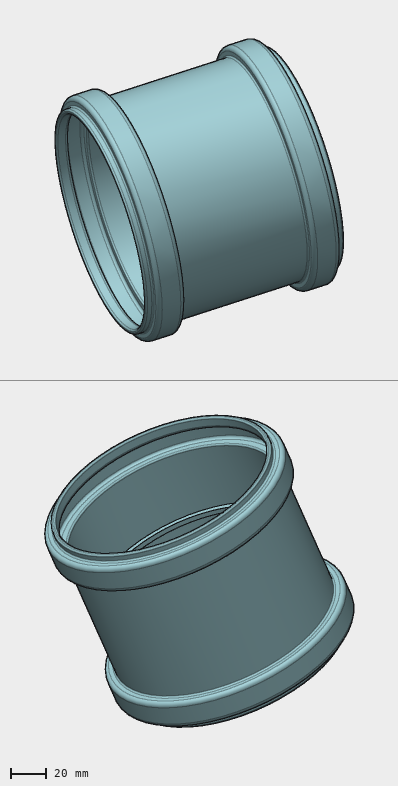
import cadquery as cq

length = 120.0
bead_diameter = 144.0
mouth_outer_diameter = 131.8
mouth_bore_diameter = 126.1
tube_outer_diameter = 131.5
tube_bore_diameter = 125.9
groove_diameter = 138.4
stop_bore_diameter = 119.0

wall = (bead_diameter - groove_diameter) / 2
mouth_length = 4.6
bead_width = 16.7
stop_width = 2.9

bead_fillet = 2.7
root_fillet = 1.0
rim_fillet = 1.0
groove_floor_fillet = 1.7
groove_edge_fillet = 1.0
mouth_groove_fillet = 1.7

half_length = length / 2
bead_start = half_length - mouth_length
bead_end = bead_start - bead_width
tolerance = 0.01


def cylinder(diameter, y_start, y_end):
    """Solid cylinder on the Y axis between two Y positions."""
    return (
        cq.Workplane("XZ", origin=(0, y_end, 0))
        .circle(diameter / 2)
        .extrude(y_end - y_start)
    )


def fillet_circle(body, diameter, y, radius):
    """Round the circular edge of the given diameter at the given Y."""
    reach = diameter / 2 + tolerance
    inner = diameter / 2 - tolerance
    edges = [
        edge
        for edge in body.edges("%CIRCLE").vals()
        if inner < edge.radius() < reach and abs(edge.Center().y - y) < tolerance
    ]
    return body.newObject(edges).fillet(radius)


def make_outside():
    """Tube, mouths and beads as one solid body."""
    body = cylinder(tube_outer_diameter, -bead_end, bead_end)
    for side in (-1, 1):
        bead_faces = sorted((side * bead_end, side * bead_start))
        mouth_faces = sorted((side * bead_start, side * half_length))
        body = body.union(cylinder(bead_diameter, *bead_faces))
        body = body.union(cylinder(mouth_outer_diameter, *mouth_faces))
    for side in (-1, 1):
        for y in (side * bead_start, side * bead_end):
            body = fillet_circle(body, bead_diameter, y, bead_fillet)
        body = fillet_circle(body, mouth_outer_diameter, side * bead_start, root_fillet)
        body = fillet_circle(body, tube_outer_diameter, side * bead_end, root_fillet)
        body = fillet_circle(body, mouth_outer_diameter, side * half_length, rim_fillet)
    return body


def make_cavity(side):
    """Space inside one socket: mouth, groove under the bead and bore up to the stop."""
    groove_outer = bead_start - wall
    groove_inner = bead_end + wall
    bore_faces = sorted((side * stop_width / 2, side * groove_inner))
    groove_faces = sorted((side * groove_inner, side * groove_outer))
    mouth_faces = sorted((side * groove_outer, side * half_length))
    cavity = (
        cylinder(tube_bore_diameter, *bore_faces)
        .union(cylinder(groove_diameter, *groove_faces))
        .union(cylinder(mouth_bore_diameter, *mouth_faces))
    )
    for y in groove_faces:
        cavity = fillet_circle(cavity, groove_diameter, y, groove_floor_fillet)
    cavity = fillet_circle(cavity, tube_bore_diameter, side * groove_inner, groove_edge_fillet)
    return fillet_circle(cavity, mouth_bore_diameter, side * groove_outer, mouth_groove_fillet)


result = make_outside()
for side in (-1, 1):
    result = result.cut(make_cavity(side))
result = result.cut(cylinder(stop_bore_diameter, -half_length, half_length))
for side in (-1, 1):
    result = fillet_circle(result, mouth_bore_diameter, side * half_length, rim_fillet)